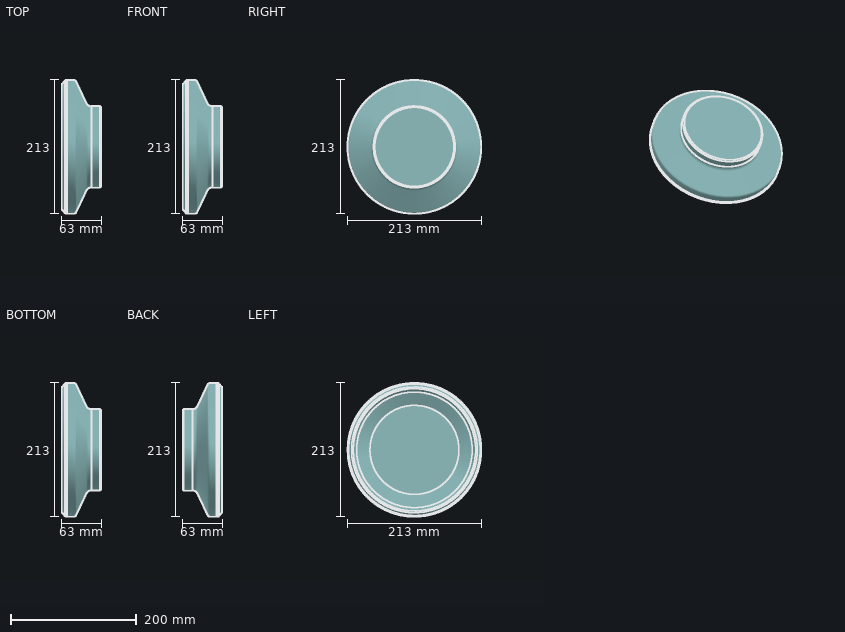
import cadquery as cq

TOTAL_LENGTH = 63.0
OUTER_RADIUS = 106.5

RING_FACE_OUTER_RADIUS = 100.0
RING_BORE_RADIUS = 91.8
SEAT_X = 5.1
SPIGOT_RADIUS = 209.0 / 2
RING_END_X = 6.8
RING_FACE_INNER_RADIUS = 97.1
RING_BEVEL_RADIUS = 96.5
RING_LIP_X = 0.6
RING_CHAMFER_END_X = 6.4

GROOVE_RADIUS = 212.0 / 2
GROOVE_END_X = 9.0
FLANGE_EDGE_CHAMFER = OUTER_RADIUS - GROOVE_RADIUS
FLANGE_END_X = 19.0
SHOULDER_X = 23.6
SHOULDER_RADIUS = 103.3

CONE_END_X = 39.6
CONE_END_RADIUS = 69.5
NECK_X = 47.0
NECK_RADIUS = 129.5 / 2
HUB_RADIUS = 130 / 2
HUB_START_X = 47.7
HUB_EDGE_CHAMFER = 2.1

DISH_FLOOR_X = 13.5
DISH_FLOOR_RADIUS = 70.7


def revolve_about_x(profile):
    """Turn a closed (X, radius) profile a full turn about the X axis."""
    return profile.close().revolve(360, (0, 0, 0), (1, 0, 0))


def make_rim_ring():
    profile = (
        cq.Workplane("XY")
        .moveTo(0, RING_FACE_INNER_RADIUS)
        .lineTo(0, RING_FACE_OUTER_RADIUS)
        .lineTo(RING_LIP_X, RING_FACE_OUTER_RADIUS)
        .lineTo(RING_CHAMFER_END_X, OUTER_RADIUS)
        .lineTo(RING_END_X, OUTER_RADIUS)
        .lineTo(RING_END_X, SPIGOT_RADIUS)
        .lineTo(SEAT_X, SPIGOT_RADIUS)
        .lineTo(SEAT_X, RING_BORE_RADIUS)
        .lineTo(RING_LIP_X, RING_BEVEL_RADIUS)
    )
    return revolve_about_x(profile)


def make_body():
    profile = (
        cq.Workplane("XY")
        .moveTo(DISH_FLOOR_X, 0)
        .lineTo(DISH_FLOOR_X, DISH_FLOOR_RADIUS)
        .lineTo(SEAT_X, RING_BORE_RADIUS)
        .lineTo(SEAT_X, SPIGOT_RADIUS)
        .lineTo(RING_END_X, SPIGOT_RADIUS)
        .lineTo(RING_END_X, GROOVE_RADIUS)
        .lineTo(GROOVE_END_X, GROOVE_RADIUS)
        .lineTo(GROOVE_END_X + FLANGE_EDGE_CHAMFER, OUTER_RADIUS)
        .lineTo(FLANGE_END_X, OUTER_RADIUS)
        .tangentArcPoint((SHOULDER_X, SHOULDER_RADIUS), relative=False)
        .lineTo(CONE_END_X, CONE_END_RADIUS)
        .tangentArcPoint((NECK_X, NECK_RADIUS), relative=False)
        .lineTo(HUB_START_X, HUB_RADIUS)
        .lineTo(TOTAL_LENGTH - HUB_EDGE_CHAMFER, HUB_RADIUS)
        .lineTo(TOTAL_LENGTH, HUB_RADIUS - HUB_EDGE_CHAMFER)
        .lineTo(TOTAL_LENGTH, 0)
    )
    return revolve_about_x(profile)


rim_ring = make_rim_ring()
body = make_body()

result = cq.Compound.makeCompound([rim_ring.val(), body.val()])